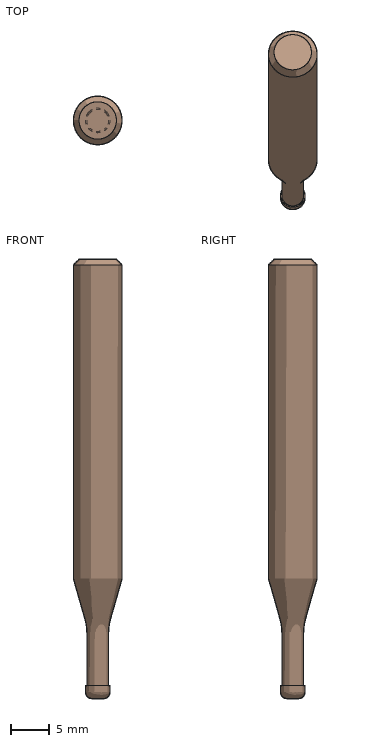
import cadquery as cq
import math

overall_length = 57.2

shank_radius = 6.35 / 2
shank_bevel = 0.75

neck_radius = 1.45
neck_end_z = 8.65
blend_radius = 6.25
taper_angle = math.radians(16)

head_radius = 1.6
head_length = 1.7
corner_radius = 0.85


def make_holder():
    """Shank, taper, blend and neck, revolved as one solid."""
    def blend_point(angle):
        """Point (radius, z) on the blend where its tangent leans by angle."""
        return (
            neck_radius + blend_radius * (1 - math.cos(angle)),
            neck_end_z + blend_radius * math.sin(angle),
        )

    blend_middle = blend_point(taper_angle / 2)
    blend_end = blend_point(taper_angle)
    taper_height = (shank_radius - blend_end[0]) / math.tan(taper_angle)
    shank_bottom_z = blend_end[1] + taper_height

    profile = (
        cq.Workplane("XZ")
        .moveTo(0, head_length)
        .lineTo(neck_radius, head_length)
        .lineTo(neck_radius, neck_end_z)
        .threePointArc(blend_middle, blend_end)
        .lineTo(shank_radius, shank_bottom_z)
        .lineTo(shank_radius, overall_length - shank_bevel)
        .lineTo(shank_radius - shank_bevel, overall_length)
        .lineTo(0, overall_length)
        .close()
    )
    return profile.revolve(360, (0, 0, 0), (0, 1, 0))


def make_cutting_head():
    """Flat-ended disc with a rounded lower corner, meeting the neck's end face."""
    return (
        cq.Workplane("XY")
        .circle(head_radius)
        .extrude(head_length)
        .faces("<Z")
        .edges()
        .fillet(corner_radius)
    )


holder = make_holder()
cutting_head = make_cutting_head()

result = cq.Compound.makeCompound([holder.val(), cutting_head.val()])